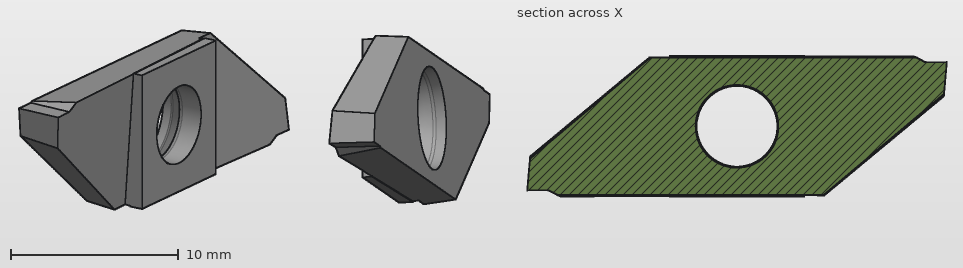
import cadquery as cq
import math

length = 25.02
height = 8.38
thickness = 3.18
half_length = length / 2
half_height = height / 2

front_half_height = 3.95
side_flare = math.tan(math.radians(4.8))
slant_angle = math.radians(40)
slant_slope = math.tan(slant_angle)
slant_corner_y = 5.13
slant_flare = side_flare / math.cos(slant_angle)
end_lean = math.tan(math.radians(5))

land_z = 3.88
land_length = 1.28
land_fall = 0.027
ramp_slope = math.tan(math.radians(27))

tip_thickness = 2.8
relief_y_slope = -0.03
relief_z_slope = 0.072

boss_half_length = 4.0

bore_diameter = 4.8
seat_steps = [(6.18, 0), (6.03, 0.63), (5.88, 0.8), (4.9, 1.6), (bore_diameter, 1.83)]

margin = 2.5


def half_turn(shape):
    """Copy a shape to the other tip, half a turn about the hole axis."""
    return shape.rotate((0, 0, 0), (1, 0, 0), 180)


def ruled_solid(x_start, section_start, x_end, section_end):
    """Solid between two YZ outlines with straight edges joining them."""
    wires = [
        cq.Wire.makePolygon([cq.Vector(x, y, z) for y, z in section], close=True)
        for x, section in ((x_start, section_start), (x_end, section_end))
    ]
    return cq.Workplane(obj=cq.Solid.makeLoft(wires, True))


def body_section(x):
    """Six-sided outline at depth x."""
    side_z = front_half_height + side_flare * x
    slant_offset = slant_flare * x + front_half_height + slant_slope * slant_corner_y
    slant_top_y = (slant_offset - side_z) / slant_slope
    end_y0 = half_length - end_lean * land_z
    end_z = (slant_offset - slant_slope * end_y0) / (1 - slant_slope * end_lean)
    half = [
        (slant_top_y, side_z),
        (end_y0 - end_lean * end_z, end_z),
        (end_y0 + end_lean * side_z, -side_z),
    ]
    return half + [(-y, -z) for y, z in half]


def land_cutter():
    """Material to remove above the land at the -Y tip."""
    def section(x):
        z = land_z - land_fall * x
        base_y = -half_length + land_length
        outer_y = -half_length - margin
        return [
            (outer_y, z),
            (base_y, z),
            (base_y + margin, z + margin * ramp_slope),
            (outer_y, z + margin * ramp_slope),
        ]

    return ruled_solid(0, section(0), thickness, section(thickness))


def behind_relief(y_start, y_end):
    """Everything behind the relief plane of the -Y half, for a range of y."""
    z_end = half_height + margin

    def plane_point(y, z):
        x = tip_thickness + relief_y_slope * (y + half_length) + relief_z_slope * (z - land_z)
        return cq.Vector(x, y, z)

    def section(y):
        low = plane_point(y, -z_end)
        high = plane_point(y, z_end)
        back_x = thickness + margin
        corners = [low, high, cq.Vector(back_x, y, z_end), cq.Vector(back_x, y, -z_end)]
        return cq.Wire.makePolygon(corners, close=True)

    return cq.Workplane(obj=cq.Solid.makeLoft([section(y_start), section(y_end)], True))


def screw_hole():
    """Stepped seat tapering to the bore, turned about the X axis."""
    profile = [(depth, diameter / 2) for diameter, depth in seat_steps]
    profile += [(thickness, bore_diameter / 2), (thickness, 0), (0, 0)]
    return cq.Workplane("XY").polyline(profile).close().revolve(360, (0, 0, 0), (1, 0, 0))


body = ruled_solid(0, body_section(0), thickness, body_section(thickness))
body = body.cut(land_cutter()).cut(half_turn(land_cutter()))

end_relief = behind_relief(-half_length - margin, -boss_half_length)
middle = behind_relief(-boss_half_length, boss_half_length)
boss_space = middle.intersect(half_turn(middle))
body = body.cut(end_relief).cut(half_turn(end_relief)).cut(boss_space)

boss = (
    cq.Workplane("XY")
    .box(thickness, 2 * boss_half_length, height, centered=(False, True, True))
    .intersect(boss_space)
)

result = body.union(boss).cut(screw_hole())